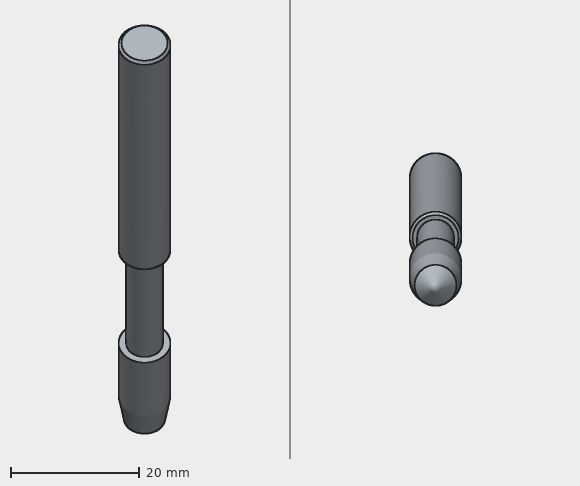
import cadquery as cq

total_length = 93.2
body_radius = 8.1 / 2

point_radius = 3.3
point_height = point_radius
lead_top = 8.6
head_top = 21.25

neck_radius = 2.9
shank_bottom = 43.15
drive_length = 9.6
drive_bottom = total_length - drive_length
chamfer = 0.5


def revolve_profile(points):
    """Turn a closed outline of (radius, height) points about the Z axis."""
    return cq.Workplane("XZ").polyline(points).close().revolve(360, (0, 0, 0), (0, 1, 0), clean=False)


def make_head():
    """Pointed cutting head with a flat upper face that carries the neck."""
    return revolve_profile([
        (0, 0),
        (point_radius, point_height),
        (body_radius, lead_top),
        (body_radius, head_top),
        (0, head_top),
    ])


def make_shank():
    """Slim neck and chamfered shank, with an edge at the foot of the drive end."""
    return revolve_profile([
        (0, head_top),
        (neck_radius, head_top),
        (neck_radius, shank_bottom),
        (body_radius - chamfer, shank_bottom),
        (body_radius, shank_bottom + chamfer),
        (body_radius, drive_bottom),
        (body_radius, total_length - chamfer),
        (body_radius - chamfer, total_length),
        (0, total_length),
    ])


head = make_head()
shank = make_shank()

result = cq.Compound.makeCompound([head.val(), shank.val()])